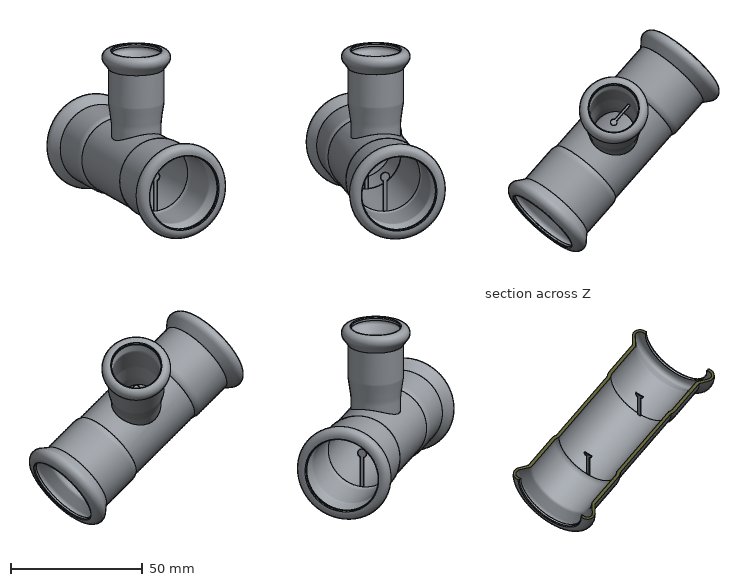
import cadquery as cq
import math


socket_wall = 1.55
lip_wall = 1.2
lip_clearance = 0.3
lip_chamfer = 0.35
neck_offset = 0.2
neck_fillet = 1.4

run_end = 42.0
run_socket_radius = 31.3 / 2
run_bead_outer_radius = 37.2 / 2
run_bead_radius = 2.95
run_neck_depth = 7.85
run_socket_depth = 23.0
run_reduction_radius = 5.0
run_tube_radius = 30.0 / 2
run_bore_radius = 27.0 / 2
run_wall = run_tube_radius - run_bore_radius

branch_end = 45.7
branch_socket_radius = 21.3 / 2
branch_bead_outer_radius = 13.1
branch_bead_radius = 2.7
branch_neck_depth = 7.0
branch_socket_depth = 20.0
branch_shoulder_length = 0.5
branch_taper_length = 7.0
branch_heel_length = 1.6
branch_tube_radius = 19.0 / 2
branch_bore_radius = 16.0 / 2

marker_thickness = 0.5
run_marker_diameter = 3.5
run_marker_bar_width = 1.4
branch_marker_diameter = 2.5
branch_marker_bar_width = 1.0

run_inner_radius = run_socket_radius - socket_wall
branch_inner_radius = branch_socket_radius - socket_wall



def add_arc(outline, center_radius, center_depth, radius, start, end):
    """Add an arc between two angles in degrees: 0 points outward, 90 toward the mouth."""
    points = []
    for angle in ((start + end) / 2, end):
        along_x = radius * math.cos(math.radians(angle))
        along_z = radius * math.sin(math.radians(angle))
        points.append((center_radius + along_x, along_z - center_depth))
    return outline.threePointArc(*points)


def cone_slope(radius, bead_center, bead_depth, bead_radius, neck_depth):
    """Slope in degrees of the cone that leaves the bead tangentially and ends at the neck."""
    length = neck_depth - bead_depth
    rise = bead_center - radius
    tangent_angle = math.asin(bead_radius / math.hypot(length, rise))
    return math.degrees(tangent_angle + math.atan2(rise, length))


def socket_outside(socket_radius, bead_outer_radius, bead_radius, neck_depth, socket_depth):
    """Outer outline from the axis at the mouth, round the bead, to the end of the socket."""
    bead_center = bead_outer_radius - bead_radius
    slope = cone_slope(socket_radius, bead_center, bead_radius, bead_radius, neck_depth)
    outline = cq.Workplane("XZ").lineTo(bead_center, 0)
    outline = add_arc(outline, bead_center, bead_radius, bead_radius, 90, -slope)
    outline = outline.lineTo(socket_radius, -neck_depth)
    return outline.lineTo(socket_radius, -socket_depth)


def socket_inside(socket_radius, bead_outer_radius, bead_radius, neck_depth, socket_depth):
    """Cavity outline from the axis at the mouth, round the lip and the groove, to the socket's end."""
    inner_radius = socket_radius - socket_wall
    lip_radius = inner_radius + lip_clearance
    bead_center = bead_outer_radius - bead_radius
    groove_radius = bead_radius - lip_wall
    inner_neck_depth = neck_depth - neck_offset
    slope = cone_slope(inner_radius, bead_center, bead_radius, groove_radius, inner_neck_depth)

    outline = cq.Workplane("XZ").lineTo(lip_radius + lip_chamfer, 0)
    outline = outline.lineTo(lip_radius, -lip_chamfer).lineTo(lip_radius, -lip_wall)
    outline = outline.lineTo(bead_center, -lip_wall)
    outline = add_arc(outline, bead_center, bead_radius, groove_radius, 90, -slope)

    slope_radians = math.radians(slope)
    fillet_center = inner_radius + neck_fillet
    fillet_depth = inner_neck_depth + neck_fillet * math.tan(slope_radians / 2)
    outline = outline.lineTo(
        fillet_center - neck_fillet * math.cos(slope_radians),
        neck_fillet * math.sin(slope_radians) - fillet_depth,
    )
    outline = add_arc(outline, fillet_center, fillet_depth, neck_fillet, 180 - slope, 180)
    return outline.lineTo(inner_radius, -socket_depth)


def add_reduction(outline, socket_radius, tube_radius, rounding):
    """Round the run down from the socket radius to the tube radius."""
    center_radius = socket_radius - rounding
    end_angle = math.degrees(math.acos((tube_radius - center_radius) / rounding))
    return add_arc(outline, center_radius, run_socket_depth, rounding, 0, -end_angle)


def add_taper(outline, socket_radius, tube_radius):
    """Taper the branch from the socket radius to the tube radius with tangent rounded ends."""
    rounded_length = (branch_shoulder_length + branch_heel_length) / 2
    slope = math.degrees(math.atan((socket_radius - tube_radius) / (branch_taper_length + rounded_length)))
    shoulder_radius = branch_shoulder_length / math.sin(math.radians(slope))
    heel_radius = branch_heel_length / math.sin(math.radians(slope))
    heel_center = tube_radius + heel_radius
    heel_depth = branch_socket_depth + branch_shoulder_length + branch_taper_length + branch_heel_length
    outline = add_arc(
        outline, socket_radius - shoulder_radius, branch_socket_depth, shoulder_radius, 0, -slope
    )
    outline = outline.lineTo(
        heel_center - heel_radius * math.cos(math.radians(slope)),
        branch_heel_length - heel_depth,
    )
    return add_arc(outline, heel_center, heel_depth, heel_radius, 180 - slope, 180)


def revolve_end(outline):
    """Close the outline straight across to the axis and revolve it about z."""
    return outline.hLineTo(0).close().revolve(360, (0, 0, 0), (0, 1, 0))



def make_run(end, tube_radius):
    """Join two end pieces, made with the mouth at z = 0, by a plain tube along X."""
    right_end = end.translate((0, 0, run_end)).rotate((0, 0, 0), (0, 1, 0), 90)
    reduced_length = 2 * right_end.val().BoundingBox().xmin
    tube = cq.Workplane("YZ").circle(tube_radius).extrude(reduced_length / 2, both=True)
    return tube.union(right_end).union(right_end.mirror("YZ"))


def make_tee():
    run_socket = (
        run_socket_radius, run_bead_outer_radius, run_bead_radius, run_neck_depth, run_socket_depth
    )
    branch_socket = (
        branch_socket_radius, branch_bead_outer_radius, branch_bead_radius, branch_neck_depth,
        branch_socket_depth,
    )

    run_outline = add_reduction(
        socket_outside(*run_socket), run_socket_radius, run_tube_radius, run_reduction_radius
    )
    run_cavity_outline = add_reduction(
        socket_inside(*run_socket), run_inner_radius, run_bore_radius, run_reduction_radius - run_wall
    )
    run = make_run(revolve_end(run_outline), run_tube_radius)
    run_cavity = make_run(revolve_end(run_cavity_outline), run_bore_radius)

    branch_outline = add_taper(socket_outside(*branch_socket), branch_socket_radius, branch_tube_radius)
    branch_cavity_outline = add_taper(socket_inside(*branch_socket), branch_inner_radius, branch_bore_radius)
    to_mouth = (0, 0, branch_end)
    branch = revolve_end(branch_outline.lineTo(branch_tube_radius, -branch_end)).translate(to_mouth)
    branch_cavity = revolve_end(branch_cavity_outline.lineTo(branch_bore_radius, -branch_end)).translate(to_mouth)

    return run.union(branch).cut(run_cavity).cut(branch_cavity)



def make_marker(diameter, bar_width, reach):
    """Disc at the origin with a bar along +x whose end follows the round wall it touches."""
    disc = cq.Workplane("XY").circle(diameter / 2).extrude(marker_thickness)
    bar = cq.Workplane("XY").rect(reach, bar_width).extrude(marker_thickness)
    bar = bar.translate((reach / 2, 0, 0))
    wall_limit = cq.Workplane("XY").circle(reach).extrude(marker_thickness)
    return disc.union(bar).intersect(wall_limit)


def make_run_markers():
    """One marker in each end of the run bore, standing across it with the bar pointing down."""
    rounding = run_reduction_radius - run_wall
    rise = rounding - (run_inner_radius - run_bore_radius)
    bore_start = run_end - run_socket_depth - math.sqrt(rounding**2 - rise**2)
    marker = make_marker(run_marker_diameter, run_marker_bar_width, run_bore_radius)
    marker = marker.rotate((0, 0, 0), (0, 1, 0), 90)
    right_marker = marker.translate((bore_start - marker_thickness, 0, 0))
    return [right_marker, right_marker.mirror("YZ")]


def make_branch_marker():
    """Marker at the bottom of the branch socket with the bar pointing along +X."""
    marker = make_marker(branch_marker_diameter, branch_marker_bar_width, branch_inner_radius)
    return marker.translate((0, 0, branch_end - branch_socket_depth))


tee = make_tee()
run_markers = make_run_markers()
branch_marker = make_branch_marker()

result = cq.Compound.makeCompound(
    [tee.val(), *[marker.val() for marker in run_markers], branch_marker.val()]
)